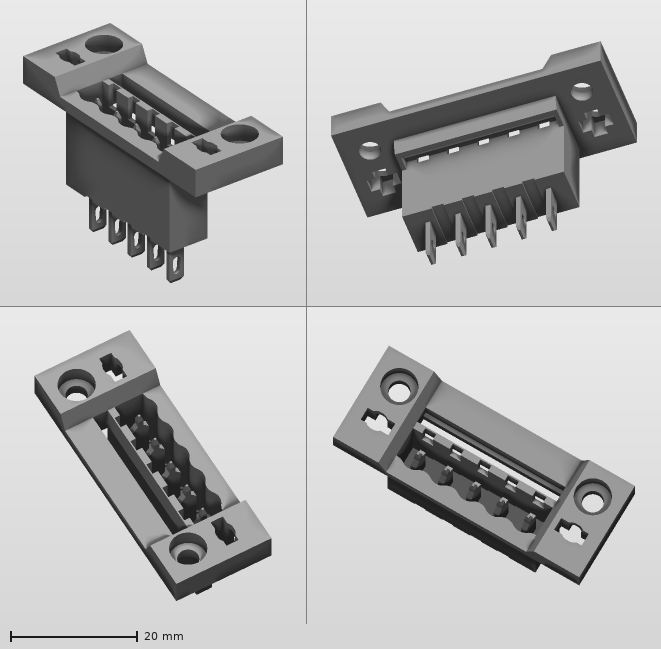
import cadquery as cq
import math

length = 45.3
depth = 17.4
flange_top = 5.05
bridge_top = 2.05
slope_top_half = 14.3
slope_foot_half = 12.85
front = -depth / 2

housing_length = 27.2
housing_front = -7.02
housing_back = 0.5
housing_bottom = -14.9
ledge_back = 4.45
ledge_toe_back = 3.95
ledge_taper_top = -1.1
ledge_bottom = -3.0

contact_count = 5
pitch = 5.08
contact_shift = -0.05
contact_y = -3.25
row_half = contact_count * pitch / 2

cavity_half = slope_foot_half
cavity_floor = -9.95
scallop_crest = -5.55
scallop_valley = -6.35
channel_width = 2.0
channel_depth = 0.45

comb_front = -0.3
nib_front = 0.7
nib_back_top = 0.9
nib_back_bottom = 1.3
nib_bottom = -1.1
notch_sill = -1.95

latch_back = 3.63
lip_edge = 2.95

blade_thickness = 1.0
blade_width = 3.0
post_top = 1.05
post_taper_start = 0.0
post_tip_size = 0.35
shoulder_top = -1.35
shoulder_drop = 1.1
tail_thickness = 0.8
tail_width = 2.85
tail_bottom = -22.98
tail_tip_height = 0.6
tail_tip_thickness = 0.25
tail_tip_width = 1.95
eye_top = -18.4
eye_bottom = -21.5
eye_top_radius = 0.75
eye_bottom_radius = 0.65

groove_width = 2.05
groove_depth = 0.4

fixing_x = 17.8
screw_y = 3.75
screw_radius = 1.75
counterbore_radius = 3.05
key_y = -2.9
key_length = 5.08
key_width = 2.2
key_radius = 1.55
key_turn_top = 3.63
key_lead_in_start = 2.7
key_lead_in_tilt = 10.0


def box(x_min, x_max, y_min, y_max, z_min, z_max):
    """Axis-aligned block given by its limits."""
    return (
        cq.Workplane("XY")
        .box(x_max - x_min, y_max - y_min, z_max - z_min, centered=False)
        .translate((x_min, y_min, z_min))
    )


def extrude_along_x(points, half_length):
    """Prism with a Y-Z outline, centred on X = 0."""
    return cq.Workplane("YZ").polyline(points).close().extrude(half_length, both=True)


def extrude_along_y(points, y_min, y_max):
    """Prism with an X-Z outline between two Y positions."""
    return (
        cq.Workplane("XZ", origin=(0, y_max, 0))
        .polyline(points)
        .close()
        .extrude(y_max - y_min)
    )


def frustum(lower_size, upper_size, z_min, z_max):
    """Rectangular taper on the contact axis; sizes are (X, Y)."""
    return (
        cq.Workplane("XY", origin=(0, 0, z_min))
        .rect(*lower_size)
        .workplane(offset=z_max - z_min)
        .rect(*upper_size)
        .loft(combine=True)
    )


def make_flange():
    points = [
        (-length / 2, 0),
        (length / 2, 0),
        (length / 2, flange_top),
        (slope_top_half, flange_top),
        (slope_foot_half, bridge_top),
        (-slope_foot_half, bridge_top),
        (-slope_top_half, flange_top),
        (-length / 2, flange_top),
    ]
    return extrude_along_y(points, front, -front)


def make_housing():
    points = [
        (housing_front, 0),
        (housing_front, housing_bottom),
        (housing_back, housing_bottom),
        (housing_back, ledge_bottom),
        (ledge_toe_back, ledge_bottom),
        (ledge_back, ledge_taper_top),
        (ledge_back, 0),
    ]
    return extrude_along_x(points, housing_length / 2)


def make_cavity(floor):
    """Contact cavity; its front wall bulges inward between the contacts."""
    middle = (scallop_crest + scallop_valley) / 2
    eighth = pitch / 8
    sagitta = scallop_crest - middle
    arc_radius = ((2 * eighth) ** 2 + sagitta ** 2) / (2 * sagitta)
    bow = sagitta - arc_radius + math.sqrt(arc_radius ** 2 - eighth ** 2)
    outline = (
        cq.Workplane("XY", origin=(0, 0, floor))
        .moveTo(-cavity_half, comb_front)
        .lineTo(-cavity_half, scallop_crest)
        .lineTo(-row_half, scallop_crest)
    )
    for index in range(contact_count):
        x = -row_half + index * pitch
        outline = (
            outline
            .threePointArc((x + eighth, middle + bow), (x + 2 * eighth, middle))
            .threePointArc((x + 4 * eighth, scallop_valley), (x + 6 * eighth, middle))
            .threePointArc((x + 7 * eighth, middle + bow), (x + 8 * eighth, scallop_crest))
        )
    outline = outline.lineTo(cavity_half, scallop_crest).lineTo(cavity_half, comb_front)
    return outline.close().extrude(flange_top - floor)


def make_latch_slot():
    """Slot behind the comb wall, open below, with a lip along its rear wall."""
    points = [
        (nib_back_top, flange_top),
        (nib_back_top, bridge_top),
        (nib_back_bottom, nib_bottom),
        (housing_back, nib_bottom),
        (housing_back, ledge_bottom),
        (lip_edge, ledge_bottom),
        (lip_edge, ledge_taper_top),
        (latch_back, ledge_taper_top),
        (latch_back, flange_top),
    ]
    return extrude_along_x(points, cavity_half)


def make_contact():
    """Blade with a pointed post above and an eyelet tail below, on its own axis."""
    blade_size = (blade_thickness, blade_width)
    post_size = (blade_thickness, blade_thickness)
    tip_size = (post_tip_size, post_tip_size)
    tail_size = (tail_thickness, tail_width)
    tail_tip_size = (tail_tip_thickness, tail_tip_width)
    tail_tip_top = tail_bottom + tail_tip_height
    shoulder_bottom = shoulder_top - shoulder_drop

    blade = frustum(blade_size, blade_size, housing_bottom, shoulder_bottom)
    shoulder = frustum(blade_size, post_size, shoulder_bottom, shoulder_top)
    post = frustum(post_size, post_size, shoulder_bottom, post_taper_start)
    tip = frustum(post_size, tip_size, post_taper_start, post_top)
    tail = frustum(tail_size, tail_size, tail_tip_top, housing_bottom)
    tail_tip = frustum(tail_tip_size, tail_size, tail_bottom, tail_tip_top)

    upper_centre = eye_top - eye_top_radius
    lower_centre = eye_bottom + eye_bottom_radius
    eye = (
        cq.Workplane("YZ")
        .moveTo(-eye_top_radius, upper_centre)
        .threePointArc((0, eye_top), (eye_top_radius, upper_centre))
        .lineTo(eye_bottom_radius, lower_centre)
        .threePointArc((0, eye_bottom), (-eye_bottom_radius, lower_centre))
        .close()
        .extrude(tail_thickness, both=True)
    )
    return blade.union(shoulder).union(post).union(tip).union(tail).union(tail_tip).cut(eye)


def make_screw_hole():
    """Counterbored through hole on its own axis."""
    hole = cq.Workplane("XY").circle(screw_radius).extrude(flange_top)
    counterbore = (
        cq.Workplane("XY", origin=(0, 0, bridge_top))
        .circle(counterbore_radius)
        .extrude(flange_top - bridge_top)
    )
    return hole.union(counterbore)


def make_key_hole(side):
    """Quarter-turn key slot: bore, slot, crosswise pocket below, lead-in leaning outward."""
    bore = cq.Workplane("XY").circle(key_radius).extrude(flange_top)
    slot = cq.Workplane("XY").rect(key_length, key_width).extrude(flange_top)
    turn_pocket = cq.Workplane("XY").rect(key_width, key_length).extrude(key_turn_top)
    lead_in = (
        cq.Workplane("XY", origin=(0, 0, key_lead_in_start))
        .circle(key_radius)
        .extrude(flange_top)
        .rotate((0, 0, key_lead_in_start), (0, 1, key_lead_in_start), side * key_lead_in_tilt)
    )
    return bore.union(slot).union(turn_pocket).union(lead_in)


body = make_flange().union(make_housing())
body = body.cut(make_cavity(cavity_floor)).cut(make_latch_slot())

for side in (-1, 1):
    x = side * fixing_x
    body = body.cut(make_screw_hole().translate((x, screw_y, 0)))
    body = body.cut(make_key_hole(side).translate((x, key_y, 0)))

first_contact = contact_shift - (contact_count - 1) / 2 * pitch
contact_places = [first_contact + index * pitch for index in range(contact_count)]
half_channel = channel_width / 2
channel_floor = cavity_floor - channel_depth
deep_cavity = make_cavity(channel_floor)

for x in contact_places:
    notch = box(x - half_channel, x + half_channel, comb_front, nib_front, notch_sill, flange_top)
    channel_strip = box(x - half_channel, x + half_channel, front, comb_front, channel_floor, cavity_floor)
    channel = deep_cavity.intersect(channel_strip)
    body = body.cut(notch).cut(channel)

for index in range(contact_count - 1):
    x = (index + 1) * pitch - row_half
    groove = box(
        x - groove_width / 2, x + groove_width / 2,
        housing_front, housing_back,
        housing_bottom, housing_bottom + groove_depth,
    )
    body = body.cut(groove)

contact = make_contact()
for x in contact_places:
    body = body.union(contact.translate((x, contact_y, 0)))

result = body